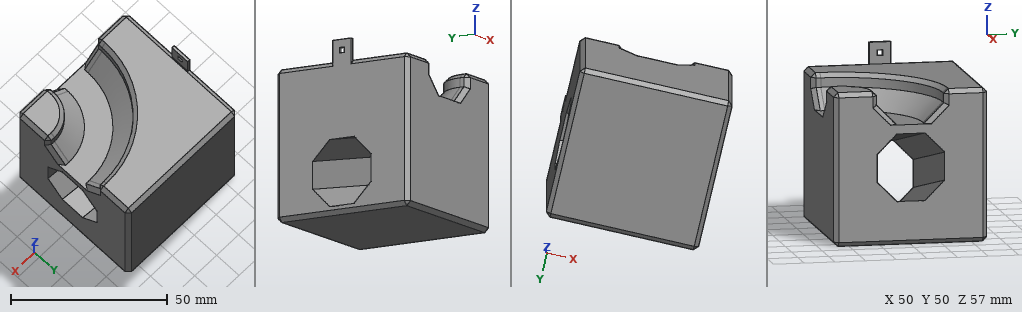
import cadquery as cq
import math

side = 50.0
half = side / 2
bevel = 1.5

bore = 21.95
bore_half = bore / 2
octagon_ratio = math.tan(math.radians(22.5))

tunnel_center_z = 13.7
tunnel_rise = 11.45

lead = 2 * bevel
bend_y = -half + lead
bend_radius = half - lead

tab_width = 7.0
tab_height = 7.0
tab_thickness = 1.0
tab_hole = 1.75


def octagon(radius):
    """Corners of a regular octagon whose flats lie at the given distance from its centre."""
    short = radius * octagon_ratio
    return [
        (radius, short), (short, radius), (-short, radius), (-radius, short),
        (-radius, -short), (-short, -radius), (short, -radius), (radius, -short),
    ]


def lower_octagon(radius):
    """Lower half of an octagon, cut flat at the channel floor depth."""
    short = radius * octagon_ratio
    floor = radius + short - bore_half
    return [
        (radius, 0), (radius, -short), (floor, -bore_half),
        (-floor, -bore_half), (-radius, -short), (-radius, 0),
    ]


def rim_profile(half_width):
    """Trapezoid that bevels both upper edges of a channel of the given half width."""
    wide = half_width + bevel
    return [(wide, 0), (half_width, -bevel), (-half_width, -bevel), (-wide, 0)]


def front_plane(y):
    """XZ plane facing -Y, centred on the channel at the top face."""
    return cq.Plane(origin=(0, y, side), xDir=(1, 0, 0), normal=(0, -1, 0))


def sweep_channel(profile):
    """Carry a profile from the -Y face round the bend to the +X face."""
    entry = cq.Workplane(front_plane(bend_y)).polyline(profile).close().extrude(lead)
    bend = (
        cq.Workplane(front_plane(bend_y)).polyline(profile).close()
        .revolve(90, (bend_radius, 0), (bend_radius, -1))
    )
    return entry.union(bend).union(turn_to_side(entry))


def turn_to_side(cutter):
    """Turn a cutter at the -Y face into the matching one at the +X face."""
    return cutter.rotate((0, 0, 0), (0, 0, 1), 90)


def make_flare(inner_profile, outer_profile):
    """Widening mouth at the -Y face, from the inner profile to the one in the face."""
    return (
        cq.Workplane(front_plane(-half + bevel)).polyline(inner_profile).close()
        .workplane(offset=bevel).polyline(outer_profile).close()
        .loft(ruled=True)
    )


def make_tunnel():
    """Octagonal tunnel that climbs from the -X face to the +X face."""
    mouth = cq.Workplane("YZ", origin=(-half, 0, tunnel_center_z)).polyline(octagon(bore_half)).close()
    return cq.Workplane(cq.Solid.extrudeLinear(mouth.val(), [], cq.Vector(side, 0, tunnel_rise)))


def make_tab():
    """Thin plate rising flush with the -X face, with a square hole."""
    full_height = tab_height + bevel
    plate = cq.Workplane("XY").box(tab_thickness, tab_width, full_height, centered=(False, True, False))
    hole = cq.Workplane("XY", origin=(0, 0, bevel + tab_height / 2)).box(3 * tab_thickness, tab_hole, tab_hole)
    return plate.cut(hole).translate((-half, 0, side - bevel))


block = cq.Workplane("XY").box(side, side, side, centered=(True, True, False)).edges().chamfer(bevel)
for profile in (lower_octagon, rim_profile):
    flare = make_flare(profile(bore_half), profile(bore_half + bevel))
    block = block.cut(sweep_channel(profile(bore_half)))
    block = block.cut(flare).cut(turn_to_side(flare))
result = block.cut(make_tunnel()).union(make_tab())